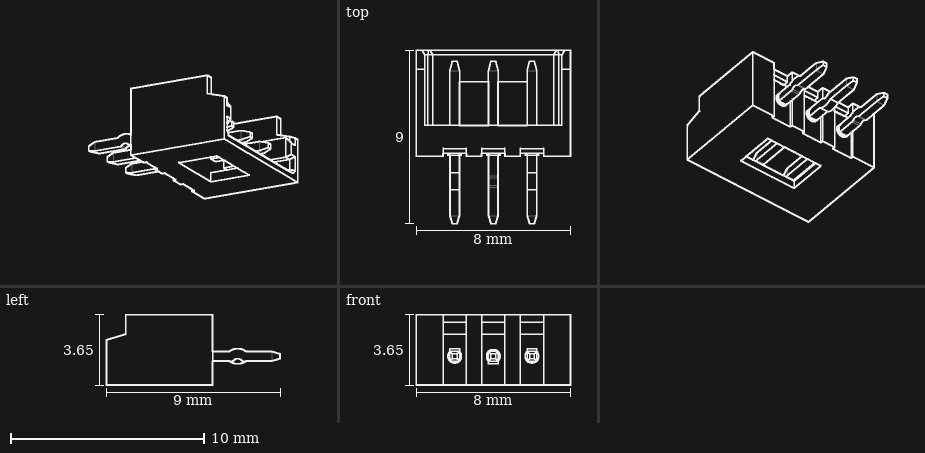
import cadquery as cq
import math


HOUSING_WIDTH = 8.0
HOUSING_LENGTH = 5.5
HOUSING_HEIGHT = 3.65
SIDE_WALL = 0.45
REAR_WALL = 1.6
FLOOR = 0.5
FLOOR_BEVEL = 0.12
INNER_HALF_WIDTH = HOUSING_WIDTH / 2 - SIDE_WALL

LEDGE_START_Y = 4.5
LEDGE_START_Z = 2.65
LEDGE_END_Z = 2.35

RIB_HALF_SPAN = 3.13
RIB_HOOK_FOOT_X = 3.39
RIB_BOTTOM_Z = 1.17
RIB_TOP_Z = 2.09
RIB_HOOK_HEIGHT = 0.15

FLARE_LENGTH = 0.25
FLARE_OFFSET = 0.15

WINDOW_WIDTH = 3.5
WINDOW_END_Y = 3.85

PIN_COUNT = 3
PITCH = 2.0
POCKET_WIDTH = 1.2
POCKET_DEPTH = 0.15
POCKET_TOP_DEPTH = 0.4
NOTCH_DEPTH = 0.75
NOTCH_BOTTOM_Z = 2.65
NOTCH_TOP_Z = 3.25

PIN_SIZE = 0.5
PIN_Z = 1.5
PIN_MATING_END = 4.92
PIN_TAIL_END = -3.5
MATING_TAPER = 0.48
TAIL_TAPER = 0.43
TIP_SIZE = 0.25
COLLAR_DIAMETER = 0.7
COLLAR_THICKNESS = 0.1

KINK_Y = -1.3
BUMP_HALF_LENGTH = 0.44
BUMP_HEIGHT = 0.15
GROOVE_DEPTH = 0.13
GROOVE_RADIUS = 0.26
GROOVE_EDGE_RADIUS = 0.13


def box(x_min, x_max, y_min, y_max, z_min, z_max):
    size = (x_max - x_min, y_max - y_min, z_max - z_min)
    return cq.Workplane("XY").box(*size, centered=False).translate((x_min, y_min, z_min))


def cavity_points(offset=0.0):
    """Corners of the cavity cross-section in XZ, open past the housing top.

    A positive offset moves every face outward by that distance, keeping sharp corners.
    """
    wall_x = INNER_HALF_WIDTH + offset
    floor_z = FLOOR - offset
    bevel_shift = offset * math.tan(math.radians(45 / 2))
    hook_angle = math.atan2(RIB_HOOK_HEIGHT, RIB_HOOK_FOOT_X - RIB_HALF_SPAN)
    foot_shift = offset * math.tan(hook_angle / 2)
    apex_drop = offset * (1 / math.cos(hook_angle) + math.tan(hook_angle))
    rib_x = RIB_HALF_SPAN + offset
    rib_bottom_z = RIB_BOTTOM_Z + offset
    rib_top_z = RIB_TOP_Z - offset
    right_side = [
        (INNER_HALF_WIDTH - FLOOR_BEVEL + bevel_shift, floor_z),
        (wall_x, FLOOR + FLOOR_BEVEL - bevel_shift),
        (wall_x, rib_bottom_z),
        (rib_x, rib_bottom_z),
        (rib_x, RIB_TOP_Z + RIB_HOOK_HEIGHT - apex_drop),
        (RIB_HOOK_FOOT_X - foot_shift, rib_top_z),
        (wall_x, rib_top_z),
        (wall_x, HOUSING_HEIGHT),
    ]
    left_side = [(-x, z) for x, z in reversed(right_side)]
    return right_side + left_side


def make_housing():
    half_width = HOUSING_WIDTH / 2
    side_outline = [
        (0, 0),
        (HOUSING_LENGTH, 0),
        (HOUSING_LENGTH, LEDGE_END_Z),
        (LEDGE_START_Y, LEDGE_START_Z),
        (LEDGE_START_Y, HOUSING_HEIGHT),
        (0, HOUSING_HEIGHT),
    ]
    housing = cq.Workplane("YZ").polyline(side_outline).close().extrude(half_width, both=True)
    cavity = (
        cq.Workplane("XZ", origin=(0, REAR_WALL, 0))
        .polyline(cavity_points())
        .close()
        .extrude(REAR_WALL - HOUSING_LENGTH)
    )
    flare = (
        cq.Workplane("XZ", origin=(0, HOUSING_LENGTH - FLARE_LENGTH, 0))
        .polyline(cavity_points())
        .close()
        .workplane(offset=-FLARE_LENGTH)
        .polyline(cavity_points(FLARE_OFFSET))
        .close()
        .loft(ruled=True)
    )
    housing = housing.cut(cavity).cut(flare)
    window = box(-WINDOW_WIDTH / 2, WINDOW_WIDTH / 2, REAR_WALL, WINDOW_END_Y, 0, FLOOR)
    return housing.cut(window)


def make_pocket(x):
    """Stepped rear pocket: shallow below, a deep notch, then a medium top recess."""
    outline = [
        (0, 0),
        (POCKET_DEPTH, 0),
        (POCKET_DEPTH, NOTCH_BOTTOM_Z),
        (NOTCH_DEPTH, NOTCH_BOTTOM_Z),
        (NOTCH_DEPTH, NOTCH_TOP_Z),
        (POCKET_TOP_DEPTH, NOTCH_TOP_Z),
        (POCKET_TOP_DEPTH, HOUSING_HEIGHT),
        (0, HOUSING_HEIGHT),
    ]
    pocket = cq.Workplane("YZ").polyline(outline).close().extrude(POCKET_WIDTH / 2, both=True)
    return pocket.translate((x, 0, 0))


def make_tip(start_y, length, direction):
    """Four-sided taper from the full pin section down to the tip."""
    plane = cq.Plane(origin=(0, start_y, PIN_Z), xDir=(1, 0, 0), normal=(0, direction, 0))
    section = cq.Workplane(plane).rect(PIN_SIZE, PIN_SIZE)
    return section.workplane(offset=length).rect(TIP_SIZE, TIP_SIZE).loft(ruled=True)


def groove_points():
    """Offsets from the kink centre along one half of the groove, as (length, height) pairs.

    The groove arc runs tangentially into a rounded edge, which is tangent to the shaft.
    Returns the shaft end, the middle of the rounded edge and the start of the groove arc.
    """
    radius_sum = GROOVE_RADIUS + GROOVE_EDGE_RADIUS
    sweep = math.acos(1 - GROOVE_DEPTH / radius_sum)
    half_length = radius_sum * math.sin(sweep)

    def edge_point(angle):
        length = half_length - GROOVE_EDGE_RADIUS * math.sin(angle)
        height = GROOVE_EDGE_RADIUS * (1 - math.cos(angle))
        return length, height

    return edge_point(0), edge_point(sweep / 2), edge_point(sweep)


def make_pin(x, kink_direction):
    """Square pin with a kinked tail; kink_direction is +1 for up, -1 for down."""
    half = PIN_SIZE / 2
    tail_start = PIN_TAIL_END + TAIL_TAPER
    mating_start = PIN_MATING_END - MATING_TAPER
    mating_side_groove = [(KINK_Y + length, height - half) for length, height in groove_points()]
    tail_side_groove = [(KINK_Y - length, height - half) for length, height in groove_points()]
    shaft = (
        cq.Workplane("YZ")
        .moveTo(tail_start, half)
        .lineTo(KINK_Y - BUMP_HALF_LENGTH, half)
        .threePointArc((KINK_Y, half + BUMP_HEIGHT), (KINK_Y + BUMP_HALF_LENGTH, half))
        .lineTo(mating_start, half)
        .lineTo(mating_start, -half)
        .lineTo(*mating_side_groove[0])
        .threePointArc(mating_side_groove[1], mating_side_groove[2])
        .threePointArc((KINK_Y, GROOVE_DEPTH - half), tail_side_groove[2])
        .threePointArc(tail_side_groove[1], tail_side_groove[0])
        .lineTo(tail_start, -half)
        .close()
        .extrude(half, both=True)
    )
    if kink_direction < 0:
        shaft = shaft.mirror("XY")
    pin = shaft.translate((0, 0, PIN_Z))
    pin = pin.union(make_tip(mating_start, MATING_TAPER, 1))
    pin = pin.union(make_tip(tail_start, TAIL_TAPER, -1))

    collar_plane = cq.Workplane("XZ", origin=(0, REAR_WALL / 2, PIN_Z))
    collar_length = REAR_WALL / 2 - POCKET_DEPTH + COLLAR_THICKNESS
    pin = pin.union(collar_plane.circle(COLLAR_DIAMETER / 2).extrude(collar_length))
    return pin.translate((x, 0, 0))


result = make_housing()
pin_positions = [(index - (PIN_COUNT - 1) / 2) * PITCH for index in range(PIN_COUNT)]
for pin_x in pin_positions:
    result = result.cut(make_pocket(pin_x))
for index, pin_x in enumerate(pin_positions):
    result = result.union(make_pin(pin_x, (-1) ** index))